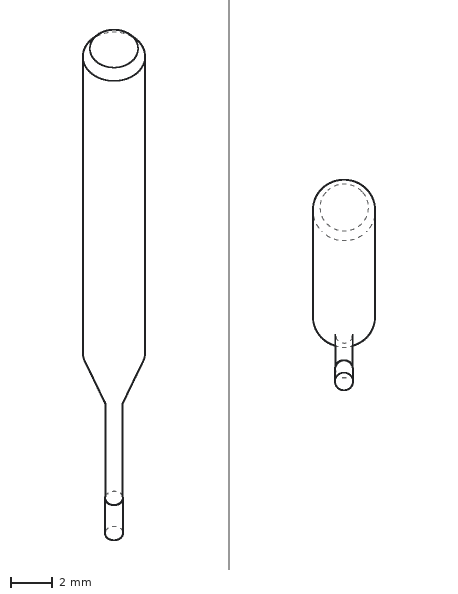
import cadquery as cq

total_length = 38.2
shank_diameter = 3.0
neck_diameter = 0.85
cutter_diameter = 0.88

point_height = 0.23
cutter_length = 2.98
neck_length = 7.5
taper_length = 3.9
chamfer_height = 0.6
chamfer_width = 0.35

neck_top = cutter_length + neck_length
taper_top = neck_top + taper_length
chamfer_bottom = total_length - chamfer_height
shank_radius = shank_diameter / 2
neck_radius = neck_diameter / 2
cutter_radius = cutter_diameter / 2


def revolve_profile(points):
    """Turn a closed radius-height outline once around the Z axis."""
    return cq.Workplane("XZ").polyline(points).close().revolve(360, (0, 0, 0), (0, 1, 0))


def make_shank():
    """Chamfered shank that tapers down to a slender neck."""
    return revolve_profile([
        (0, cutter_length),
        (neck_radius, cutter_length),
        (neck_radius, neck_top),
        (shank_radius, taper_top),
        (shank_radius, chamfer_bottom),
        (shank_radius - chamfer_width, total_length),
        (0, total_length),
    ])


def make_cutter():
    """Cylindrical cutting end with a shallow conical point, below the neck."""
    return revolve_profile([
        (0, 0),
        (cutter_radius, point_height),
        (cutter_radius, cutter_length),
        (0, cutter_length),
    ])


shank = make_shank()
cutter = make_cutter()

result = cq.Compound.makeCompound([shank.val(), cutter.val()])